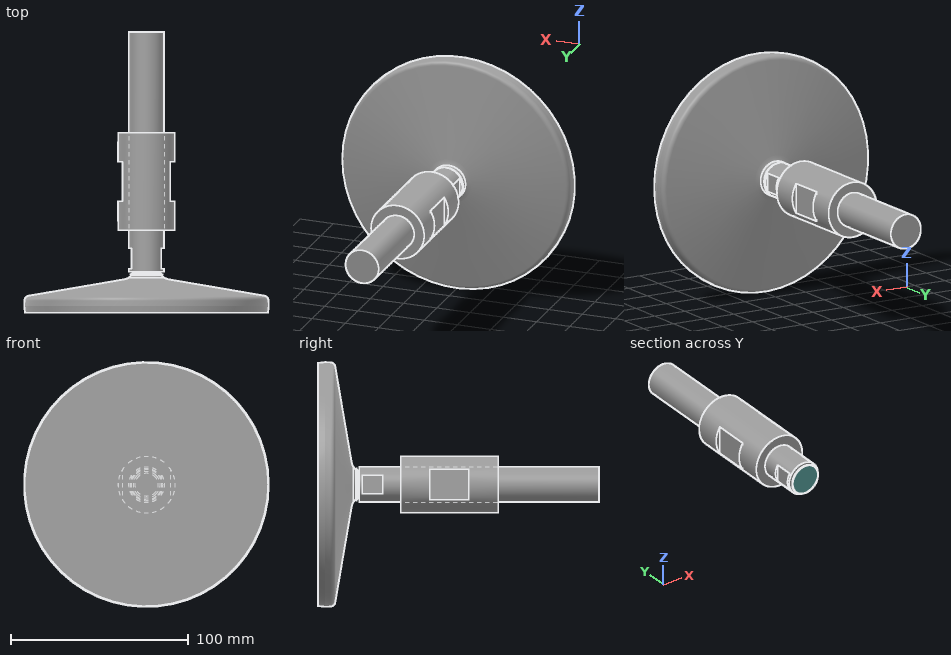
import cadquery as cq
import math

total_height = 158.2

foot_diameter = 138.0
parting_height = 4.0
rim_height = 7.0
lower_draft = math.radians(7.0)
upper_draft = math.radians(3.0)
shoulder_fillet = 3.0
cone_slope = math.radians(9.7)
cone_top_radius = 13.1

collar_base_radius = 10.1
collar_base_height = 19.8
groove_radius = 8.5
groove_height = 21.3
lip_radius = 9.1
lip_height = 21.7
collar_top_radius = 7.5
collar_top_height = 22.5

spindle_diameter = 20.0
spindle_bottom = 23.2
neck_diameter = 13.0
spindle_flat_width = 17.0
spindle_flat_bottom = 24.9
spindle_flat_length = 11.5

sleeve_diameter = 32.0
sleeve_bottom = 46.5
sleeve_length = 55.0
sleeve_flat_width = 27.0
sleeve_flat_length = 22.0


def cylinder(diameter, bottom, length):
    """Round bar along +Y that starts at the given height."""
    base = cq.Plane(origin=(0, bottom, 0), xDir=(1, 0, 0), normal=(0, 1, 0))
    return cq.Workplane(base).circle(diameter / 2).extrude(length)


def cut_wrench_flats(body, diameter, flat_width, bottom, length):
    """Cut two opposite flats, facing -X and +X, into a round body."""
    flat_depth = (diameter - flat_width) / 2
    for side in (-1, 1):
        cutter = cq.Workplane("XY").box(flat_depth, length, diameter)
        middle_x = side * (flat_width + flat_depth) / 2
        body = body.cut(cutter.translate((middle_x, bottom + length / 2, 0)))
    return body


def make_foot():
    """Conical plate with a drafted rim, a rounded shoulder and a grooved collar."""
    parting_radius = foot_diameter / 2
    sole_radius = parting_radius - parting_height * math.tan(lower_draft)
    rim_radius = parting_radius - (rim_height - parting_height) * math.tan(upper_draft)
    arc_centre_radius = rim_radius - shoulder_fillet * math.cos(upper_draft)
    arc_centre_height = rim_height - shoulder_fillet * math.sin(upper_draft)
    shoulder_radius = arc_centre_radius + shoulder_fillet * math.sin(cone_slope)
    shoulder_height = arc_centre_height + shoulder_fillet * math.cos(cone_slope)
    cone_top_height = shoulder_height + (shoulder_radius - cone_top_radius) * math.tan(cone_slope)
    return (
        cq.Workplane("XY")
        .lineTo(sole_radius, 0)
        .lineTo(parting_radius, parting_height)
        .lineTo(rim_radius, rim_height)
        .tangentArcPoint((shoulder_radius, shoulder_height), relative=False)
        .lineTo(cone_top_radius, cone_top_height)
        .tangentArcPoint((collar_base_radius, collar_base_height), relative=False)
        .lineTo(groove_radius, groove_height)
        .lineTo(lip_radius, lip_height)
        .lineTo(collar_top_radius, collar_top_height)
        .lineTo(0, collar_top_height)
        .close()
        .revolve(360, (0, 0, 0), (0, 1, 0))
    )


def make_spindle():
    """Round rod with wrench flats, standing on the foot with a thinner neck."""
    rod = cylinder(spindle_diameter, spindle_bottom, total_height - spindle_bottom)
    rod = cut_wrench_flats(
        rod, spindle_diameter, spindle_flat_width, spindle_flat_bottom, spindle_flat_length
    )
    neck = cylinder(neck_diameter, collar_top_height, spindle_bottom - collar_top_height)
    return rod.union(neck)


def make_sleeve():
    """Tube that fits around the spindle, with wrench flats at mid length."""
    sleeve = cylinder(sleeve_diameter, sleeve_bottom, sleeve_length)
    flat_bottom = sleeve_bottom + (sleeve_length - sleeve_flat_length) / 2
    sleeve = cut_wrench_flats(
        sleeve, sleeve_diameter, sleeve_flat_width, flat_bottom, sleeve_flat_length
    )
    return sleeve.cut(cylinder(spindle_diameter, sleeve_bottom, sleeve_length))


foot = make_foot()
spindle = make_spindle()
sleeve = make_sleeve()

result = cq.Compound.makeCompound([foot.val(), spindle.val(), sleeve.val()])